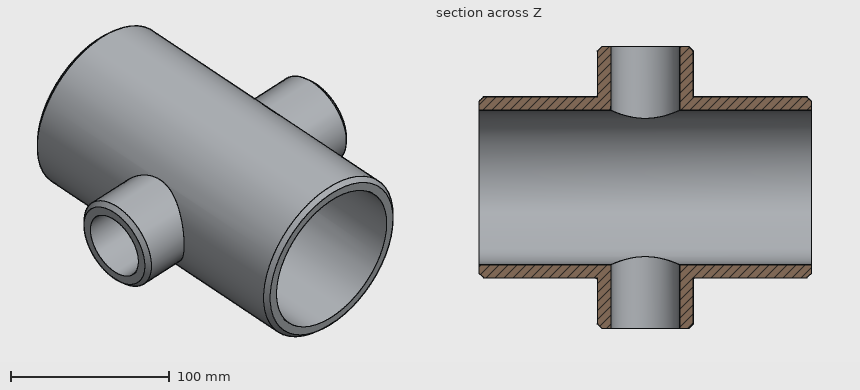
import cadquery as cq

run_length = 209.3
run_diameter = 114.3
run_bore = 97.1

branch_span = 177.7
branch_diameter = 60.7
branch_bore = 43.1

end_chamfer = 3.0


def centered_cylinder(plane, diameter, length):
    """Cylinder along the plane's normal, centred on the origin."""
    return cq.Workplane(plane).circle(diameter / 2).extrude(length / 2, both=True)


run_body = centered_cylinder("YZ", run_diameter, run_length).faces("<X or >X").chamfer(end_chamfer)
branch_body = centered_cylinder("XZ", branch_diameter, branch_span).faces("<Y or >Y").chamfer(end_chamfer)

run_hole = centered_cylinder("YZ", run_bore, run_length)
branch_hole = centered_cylinder("XZ", branch_bore, branch_span)

result = run_body.union(branch_body).cut(run_hole).cut(branch_hole)